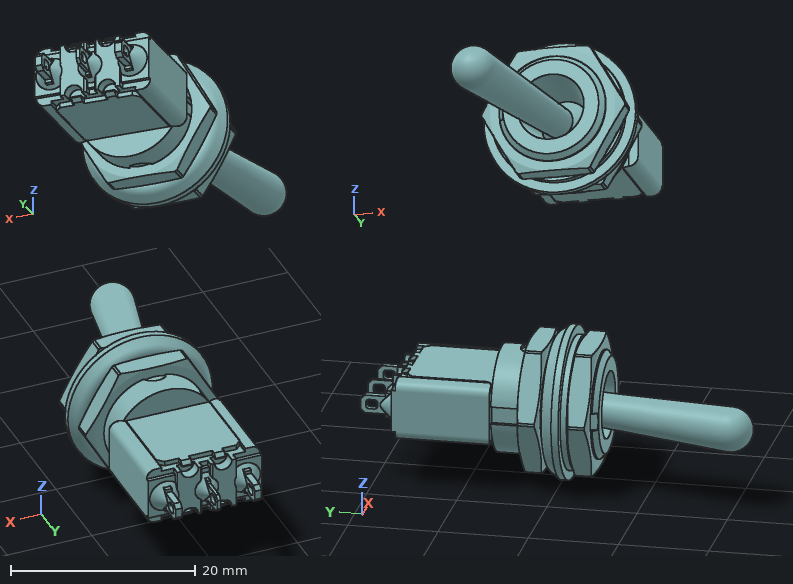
import cadquery as cq
import math


BUSHING_R = 6.0
BUSHING_CHAMFER = 0.6
KEYWAY_WIDTH = 1.95
KEYWAY_DEPTH = 0.55
SPOT_FACE_R = 1.35
SPOT_FACE_DEPTH = 0.3
SPOT_FACE_CROWN = 0.2
SPOT_FACE_Y = 8.35

NUT_FLATS = 14.05
NUT_CORNER_R = 8.05
NUT_FACE_R = NUT_FLATS / 2
NUT_CORNER_DROP = 0.25
NUT_THICKNESS = 2.35
FRONT_NUT_Y = 0.8
REAR_NUT_Y = 6.35
LOCK_RING_R = 7.43
LOCK_RING_Y = FRONT_NUT_Y + NUT_THICKNESS
FLANGE_R = 8.5
FLANGE_Y = 3.85
FLANGE_RIM = 0.8
FLANGE_CONE_R = 7.85
FLANGE_CONE = 0.9
FLANGE_TOP_R = 6.9
FLANGE_TOP = 0.5

CASE_FRONT = 11.85
CASE_REAR = 22.3
CASE_WIDTH = 13.4
CASE_HEIGHT = 6.8
CASE_CORNER_R = 1.05
RELIEF_DEPTH = 0.3
COVER_WIDTH = 9.87
COVER_HEIGHT = 7.08
COVER_REAR = 21.45
COVER_BEND_R = 0.75
COVER_CORNER = 0.7
CORE_HEIGHT = 6.0
TAB_WIDTH = 1.2
TAB_REAR = 22.4
TAB_CHAMFER = 0.45
TAB_X = 1.95

PLATE_HEIGHT = 4.8
PLATE_REAR = 22.7
BLOCK_WIDTH = 7.0
BLOCK_REAR = 23.2
POCKET_R = 1.0
POCKET_FLOOR = 21.9
NOTCH_WIDTH = 0.95
NOTCH_CHAMFER = 0.2
SEAL_FOOT_R = 1.85
SEAL_WAIST_R = 1.0
SEAL_WAIST_Y = 23.6
SEAL_APEX = 24.75

TERMINAL_X = 4.67
OUTER_TERMINAL_TIP = 26.48
CENTER_TERMINAL_TIP = 26.65
OUTER_TERMINAL_THICKNESS = 0.8
CENTER_TERMINAL_THICKNESS = 0.4
TERMINAL_WIDTH = 2.05
TERMINAL_CHAMFER = 0.5
SHOULDER_WIDTH = 2.8
SHOULDER_FROM_TIP = 2.8
EYELET_LENGTH = 1.3
EYELET_WIDTH = 1.05
EYELET_CORNER_R = 0.4
EYELET_FROM_TIP = 1.25

PIVOT_Y = 7.95
LEVER_TILT = 12.2
LEVER_LENGTH = 23.02
BALL_R = 3.05
LEVER_ROOT_R = 1.6
LEVER_TIP_R = 2.5
MOUTH_R = 3.7
SEAT_R = 2.7


def block(width, height, front, rear):
    """A box centred on the Y axis, from Y = front to Y = rear."""
    return cq.Workplane("XY").box(width, rear - front, height).translate((0, (front + rear) / 2, 0))


def revolve_about_y(outline):
    return outline.close().revolve(360, (0, 0, 0), (0, 1, 0))


def disc(radius, front, rear):
    return revolve_about_y(
        cq.Workplane("XY").moveTo(0, front).lineTo(radius, front).lineTo(radius, rear).lineTo(0, rear)
    )


def make_bushing():
    return disc(BUSHING_R, 0, CASE_FRONT).faces("<Y").edges().chamfer(BUSHING_CHAMFER)


def make_keyway():
    """A flat-bottomed groove along the -X side of the bushing, running on under the nuts."""
    bar = block(2 * KEYWAY_DEPTH, KEYWAY_WIDTH, 0, CASE_FRONT).translate((-BUSHING_R, 0, 0))
    return bar.intersect(disc(BUSHING_R, 0, CASE_FRONT))


def make_spot_faces():
    """Shallow round recesses with a crowned floor at the top and bottom, half covered by the rear nut."""
    floor = cq.Vector(0, SPOT_FACE_Y, BUSHING_R - SPOT_FACE_DEPTH)
    recess = cq.Workplane(cq.Solid.makeCylinder(SPOT_FACE_R, 2 * SPOT_FACE_DEPTH, floor))
    crown = cq.Workplane(cq.Solid.makeCone(SPOT_FACE_R, 0, SPOT_FACE_CROWN, floor))
    recess = recess.cut(crown)
    return recess.union(recess.mirror("XY"))


def make_nut(front):
    rear = front + NUT_THICKNESS
    hexagon = (
        cq.Workplane("XZ", origin=(0, rear, 0))
        .polygon(6, NUT_FLATS / math.cos(math.pi / 6))
        .extrude(NUT_THICKNESS)
    )
    envelope = revolve_about_y(
        cq.Workplane("XY")
        .moveTo(0, front)
        .lineTo(NUT_FACE_R, front)
        .lineTo(NUT_CORNER_R, front + NUT_CORNER_DROP)
        .lineTo(NUT_CORNER_R, rear - NUT_CORNER_DROP)
        .lineTo(NUT_FACE_R, rear)
        .lineTo(0, rear)
    )
    return hexagon.intersect(envelope)


def make_flange():
    rim_end = FLANGE_Y + FLANGE_RIM
    cone_end = rim_end + FLANGE_CONE
    top = cone_end + FLANGE_TOP
    return revolve_about_y(
        cq.Workplane("XY")
        .moveTo(0, FLANGE_Y)
        .lineTo(FLANGE_R, FLANGE_Y)
        .lineTo(FLANGE_R, rim_end)
        .lineTo(FLANGE_CONE_R, cone_end)
        .tangentArcPoint((FLANGE_TOP_R, top), relative=False)
        .lineTo(0, top)
    )


def make_case():
    frame = block(CASE_WIDTH, CASE_HEIGHT, CASE_FRONT, CASE_REAR).edges("|Y").fillet(CASE_CORNER_R)
    rails = frame.cut(block(COVER_WIDTH, CASE_HEIGHT, CASE_FRONT, CASE_REAR))
    relief = (
        cq.Workplane("XY", origin=(0, 0, -CASE_HEIGHT / 2))
        .moveTo(CASE_WIDTH / 2 - CASE_CORNER_R, CASE_FRONT)
        .lineTo(COVER_WIDTH / 2, CASE_FRONT)
        .lineTo(COVER_WIDTH / 2, CASE_FRONT + RELIEF_DEPTH)
        .close()
        .extrude(CASE_HEIGHT)
    )
    rails = rails.cut(relief).cut(relief.mirror("YZ"))
    core = block(COVER_WIDTH, CORE_HEIGHT, CASE_FRONT + COVER_BEND_R, CASE_REAR)
    cover = (
        block(COVER_WIDTH, COVER_HEIGHT, CASE_FRONT, COVER_REAR)
        .edges("|X and <Y")
        .fillet(COVER_BEND_R)
        .edges("|Z and >Y")
        .chamfer(COVER_CORNER)
    )
    return rails.union(core).union(cover)


def make_base():
    base = block(BLOCK_WIDTH, CORE_HEIGHT, CASE_REAR, BLOCK_REAR)
    notch = block(NOTCH_WIDTH, CORE_HEIGHT, CASE_REAR, BLOCK_REAR)
    around_notch = cq.selectors.BoxSelector(
        (-NOTCH_WIDTH, CASE_REAR, -CORE_HEIGHT),
        (NOTCH_WIDTH, BLOCK_REAR + NOTCH_CHAMFER, CORE_HEIGHT),
    )
    base = base.cut(notch).edges("|Z and >Y").edges(around_notch).chamfer(NOTCH_CHAMFER)
    return base.union(block(CASE_WIDTH, PLATE_HEIGHT, CASE_REAR, PLATE_REAR))


def make_pockets():
    sites = [(x * TAB_X, z * CORE_HEIGHT / 2) for x in (-1, 1) for z in (-1, 1)]
    return (
        cq.Workplane("XZ", origin=(0, BLOCK_REAR, 0))
        .pushPoints(sites)
        .circle(POCKET_R)
        .extrude(BLOCK_REAR - POCKET_FLOOR)
    )


def make_tab(x, side):
    thickness = (COVER_HEIGHT - CORE_HEIGHT) / 2
    tab = (
        block(TAB_WIDTH, thickness, COVER_REAR - COVER_CORNER, TAB_REAR)
        .edges("|X and >Y and >Z")
        .chamfer(TAB_CHAMFER)
        .translate((x, 0, (CORE_HEIGHT + thickness) / 2))
    )
    return tab if side > 0 else tab.mirror("XY")


def make_terminal(x, tip, thickness):
    blade = block(thickness, TERMINAL_WIDTH, PLATE_REAR, tip).edges("|X and >Y").chamfer(TERMINAL_CHAMFER)
    shoulder = block(thickness, SHOULDER_WIDTH, PLATE_REAR, tip - SHOULDER_FROM_TIP)
    eyelet_center = tip - EYELET_FROM_TIP
    eyelet = (
        block(thickness, EYELET_WIDTH, eyelet_center - EYELET_LENGTH / 2, eyelet_center + EYELET_LENGTH / 2)
        .edges("|X")
        .fillet(EYELET_CORNER_R)
    )
    seal = revolve_about_y(
        cq.Workplane("XY")
        .moveTo(0, PLATE_REAR)
        .lineTo(SEAL_FOOT_R, PLATE_REAR)
        .lineTo(SEAL_WAIST_R, SEAL_WAIST_Y)
        .lineTo(0, SEAL_APEX)
    )
    return blade.union(shoulder).cut(eyelet).union(seal).translate((x, 0, 0))


def make_lever():
    tip_r = LEVER_TIP_R
    lever = revolve_about_y(
        cq.Workplane("XY")
        .moveTo(0, 0)
        .lineTo(LEVER_ROOT_R, 0)
        .lineTo(tip_r, -LEVER_LENGTH)
        .threePointArc(
            (tip_r * math.sin(math.pi / 4), -LEVER_LENGTH - tip_r * math.cos(math.pi / 4)),
            (0, -LEVER_LENGTH - tip_r),
        )
    )
    ball = cq.Workplane("XY").sphere(BALL_R)
    lever = lever.union(ball)
    return lever.rotate((0, 0, 0), (0, 0, 1), -LEVER_TILT).translate((0, PIVOT_Y, 0)).solids()


def make_lever_seat():
    seat_y = PIVOT_Y - math.sqrt(BALL_R**2 - SEAT_R**2)
    mouth = revolve_about_y(
        cq.Workplane("XY")
        .moveTo(0, 0)
        .lineTo(MOUTH_R, 0)
        .lineTo(SEAT_R, seat_y)
        .lineTo(0, seat_y)
    )
    return mouth.union(cq.Workplane("XY").sphere(BALL_R).translate((0, PIVOT_Y, 0)))


def make_housing():
    bushing = make_bushing().cut(make_spot_faces())
    housing = bushing.union(make_case()).union(make_base()).cut(make_pockets())
    for front in (FRONT_NUT_Y, REAR_NUT_Y):
        housing = housing.union(make_nut(front))
    housing = housing.union(disc(LOCK_RING_R, LOCK_RING_Y, FLANGE_Y)).union(make_flange())
    for x in (-TAB_X, TAB_X):
        for side in (-1, 1):
            housing = housing.union(make_tab(x, side))
    for x in (-TERMINAL_X, TERMINAL_X):
        housing = housing.union(make_terminal(x, OUTER_TERMINAL_TIP, OUTER_TERMINAL_THICKNESS))
    housing = housing.union(make_terminal(0, CENTER_TERMINAL_TIP, CENTER_TERMINAL_THICKNESS))
    return housing.cut(make_keyway()).cut(make_lever_seat()).solids()


housing = make_housing()
lever = make_lever()
result = cq.Compound.makeCompound([housing.val(), lever.val()])